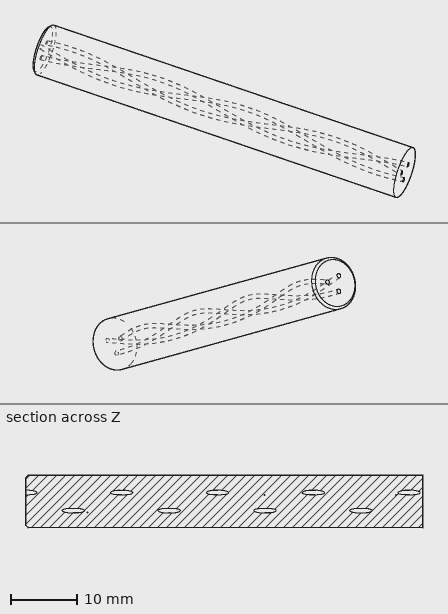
import cadquery as cq
import math

rod_length = 60.0
rod_diameter = 8.0
end_chamfer = 0.4

channel_count = 3
channel_diameter = 0.65
channel_circle_radius = 1.4
helix_angle = 30.0

helix_pitch = math.pi * rod_diameter / math.tan(math.radians(helix_angle))
twist_angle = 360 * rod_length / helix_pitch
chamfered_end_x = -rod_length / 2


def end_plane():
    return cq.Workplane("YZ", origin=(chamfered_end_x, 0, 0))


def make_rod():
    rod = end_plane().circle(rod_diameter / 2).extrude(rod_length)
    return rod.faces("<X").chamfer(end_chamfer)


def make_channels():
    return (
        end_plane()
        .polarArray(channel_circle_radius, 0, 360, channel_count)
        .circle(channel_diameter / 2)
        .twistExtrude(rod_length, twist_angle)
    )


result = make_rod().cut(make_channels())